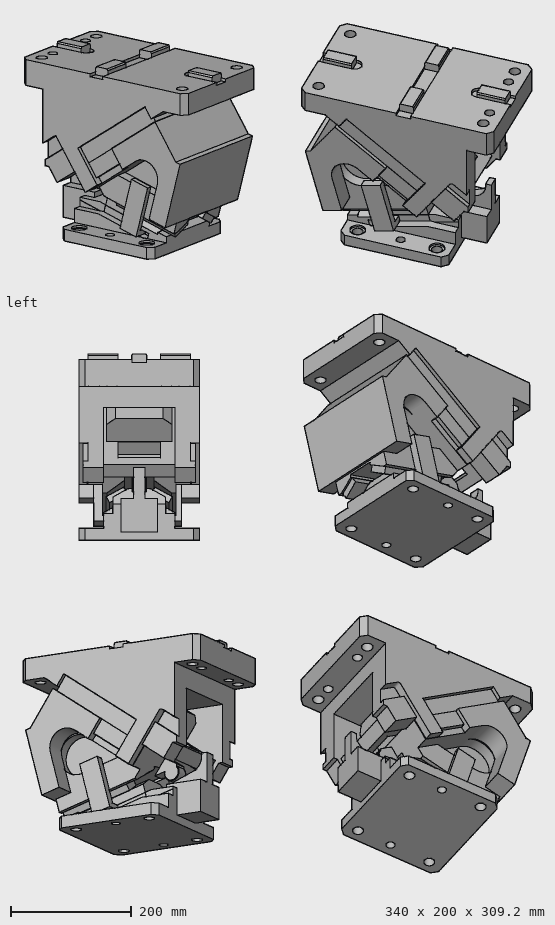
import cadquery as cq
import math

plate_length = 340.0
width = 200.0
half_width = width / 2
plate_top = 300.0
plate_bottom_front = 255.0
plate_bottom_rear = 262.5
corner_chamfer = 10.0

key_width = 25.0
key_length = 50.0
key_rise = 9.2
key_chamfer = 2.7
keyway_depth = 5.0
cross_keyway_start = 143.5
cross_keyway_width = 26.0
cross_key_centre_y = 60.2
long_keyway_width = 24.0
long_keyway_length = 72.8
long_key_edge_gap = 9.2

mount_hole_diameter = 18.7
dowel_hole_diameter = 16.3
hole_edge_distance = 24.5
mount_hole_y = 75.0
dowel_hole_y = 45.0

leg_front_x = 45.0
leg_foot_z = 120.5
leg_foot_u = -50.3
channel_half_width = 59.5
channel_ceiling = 220.0
driver_end_u = 199.5
driver_tail_w = 7.0
recess_y = 92.8
recess_height = 30.0
side_leg_inner_y = 86.5
side_leg_length = 30.0
side_leg_depth = 39.5
gib_seat_height = 67.5
gib_seat_fillet = 4.0
gib_slot_y = 84.5
gib_slot_bottom = 43.2

cam_angle = 35.0
cam_origin_x = 110.5
cam_origin_z = 124.8
flange_half_width = 85.0
keeper_depth = 28.0
core_half_width = 61.2
core_bottom_n = 36.0
core_end_t = 154.0
wing_start_u = 94.2
wing_end_u = 204.0
wing_shoulder_w = -75.8
wing_back_t = 158.8
wing_top_n = 180.2
wing_bottom_n = 60.2
wing_inner_t = 124.5
eye_centre_t = 95.0
eye_radius = 34.5
wing_eye_radius = wing_inner_t - eye_centre_t
eye_floor_y = 40.8

top_rail_start_u = -41.8
top_rail_bottom_w = 4.8
top_rail_top_w = 30.3
cam_block_start_u = 24.0
cam_block_half_width = 54.0
cam_block_height = 47.0
cam_block_chamfer_width = 14.5
cam_block_chamfer_height = 12.0
spring_pocket_start_u = -21.5
spring_pocket_half_width = 35.0
spring_pocket_ledge = 0.7

cavity_overrun = 34.0
centre_slot_half_width = 24.8
centre_slot_ceiling_n = 56.8
pad_start_t = 24.5
pad_end_t = 150.5
pad_outer_y = 49.0
pad_inner_y = 19.7
pad_thickness = 12.0

hook_half_width = 12.2
hook_edge_chamfer = 1.0
hook_radius = 14.0
hook_tip_u = -25.0
hook_tip_w = -19.7
hook_neck_n = 47.0
hook_neck_t = -29.2
hook_top_w = -3.0

strap_start_t = 54.5
strap_end_t = 89.0
strap_top_n = 94.2
strap_bottom_n = 1.7
strap_outer_left_y = 75.5
strap_outer_right_y = 70.5
strap_toe_y = 45.0
strap_toe_top_n = 11.5

guide_angle = 15.0
guide_origin_x = 130.0
guide_origin_z = 44.5
base_start_x = 80.0
base_end_x = 270.5
foot_thickness = 20.5
pedestal_half_width = 59.0
body_half_width = 43.5
body_top_z = 60.2
body_top_n = 13.0
rail_flat_half_width = 17.7
rail_top_n = 43.2
rail_end_t = 121.5
rail_wide_start_t = 66.3
roof_angle = 30.0
rear_stop_n = 23.0
front_shelf_n = -2.0
front_shelf_half_width = 44.2
groove_floor_y = 44.2
groove_height = 12.5
groove_end_t = 104.5
groove_end_fillet = 6.0

foot_bolt_x = (105.0, 245.0)
foot_hole_y = 79.0
foot_bolt_diameter = 18.0
foot_bore_diameter = 26.2
foot_bore_depth = 3.5
foot_dowel_x = 169.0
foot_dowel_diameter = 15.0

stop_start_x = 34.7
stop_end_x = 100.0
stop_bottom_z = 14.0
stop_block_top_z = 69.5
stop_half_width = 30.3
stop_web_half_width = 9.5
stop_top_z = 120.5
stop_nose_x = 45.0
stop_ramp_end_z = 77.2
stop_ramp_angle = 20.0
stop_arc_radius = 25.0

cam = math.radians(cam_angle)
guide = math.radians(guide_angle)
roof_slope = math.tan(math.radians(roof_angle))


def cam_point(u, w):
    """XZ point u along the rising cam plane and w above it."""
    return (
        cam_origin_x + u * math.cos(cam) - w * math.sin(cam),
        cam_origin_z + u * math.sin(cam) + w * math.cos(cam),
    )


def guide_point(t, n):
    """XZ point t along the falling guide and n above it."""
    return (
        guide_origin_x + t * math.cos(guide) + n * math.sin(guide),
        guide_origin_z - t * math.sin(guide) + n * math.cos(guide),
    )


def guide_coords(point):
    """Guide coordinates t, n of an XZ point."""
    dx = point[0] - guide_origin_x
    dz = point[1] - guide_origin_z
    return (
        dx * math.cos(guide) - dz * math.sin(guide),
        dx * math.sin(guide) + dz * math.cos(guide),
    )


def cam_coords(point):
    """Cam coordinates u, w of an XZ point."""
    dx = point[0] - cam_origin_x
    dz = point[1] - cam_origin_z
    return (
        dx * math.cos(cam) + dz * math.sin(cam),
        -dx * math.sin(cam) + dz * math.cos(cam),
    )


def guide_height_at(x, n):
    """Z of the plane n above the guide at a given X."""
    return guide_origin_z + (n - (x - guide_origin_x) * math.sin(guide)) / math.cos(guide)


def slab(points, half):
    """XZ outline extruded symmetrically about the middle plane."""
    return cq.Workplane("XZ").polyline(points).close().extrude(half, both=True)


def side_slabs(outline, inner, outer):
    """XZ outline function extruded between two distances from the middle plane, on both sides."""
    near = outline(cq.Workplane("XZ", origin=(0, -inner, 0))).extrude(outer - inner)
    return near.union(near.mirror("XZ"))


def polygon(points):
    return lambda plane: plane.polyline(points).close()


def cam_corners(u0, u1, w0, w1):
    return [cam_point(u0, w0), cam_point(u1, w0), cam_point(u1, w1), cam_point(u0, w1)]


def guide_corners(t0, t1, n0, n1):
    return [guide_point(t0, n0), guide_point(t1, n0), guide_point(t1, n1), guide_point(t0, n1)]


def cam_rectangle(u0, u1, w0, w1):
    return polygon(cam_corners(u0, u1, w0, w1))


def guide_rectangle(t0, t1, n0, n1):
    return polygon(guide_corners(t0, t1, n0, n1))


def guide_section(t):
    """Plane across the guide: local x is Y, local y is the height above the guide."""
    x, z = guide_point(t, 0)
    return cq.Workplane(
        cq.Plane(origin=(x, 0, z), xDir=(0, 1, 0), normal=(math.cos(guide), 0, -math.sin(guide)))
    )


def cam_section(u):
    """Plane across the cam plane: local x is Y, local y is the height above it."""
    x, z = cam_point(u, 0)
    return cq.Workplane(
        cq.Plane(origin=(x, 0, z), xDir=(0, 1, 0), normal=(math.cos(cam), 0, math.sin(cam)))
    )


def roof_n(y):
    """Height of the rail roof above the guide at distance y from the middle."""
    return rail_top_n - (y - rail_flat_half_width) * roof_slope


def mirrored(half_outline):
    """Closed outline from its +Y half, listed from one end to the other."""
    return half_outline + [(-y, n) for y, n in reversed(half_outline)]


def key(length):
    """Key along X with chamfered long top edges, standing on its keyway floor."""
    height = keyway_depth + key_rise
    bar = cq.Workplane("XY").box(length, key_width, height, centered=(True, True, False))
    return bar.faces(">Z").edges("|X").chamfer(key_chamfer, key_chamfer * 0.6)


def driver_keys(body):
    floor = plate_top - keyway_depth
    cross_x = cross_keyway_start + cross_keyway_width / 2
    body = body.cut(
        cq.Workplane("XY", origin=(cross_x, 0, floor)).rect(cross_keyway_width, width).extrude(keyway_depth)
    )
    for end_x, inward in ((0, 1), (plate_length, -1)):
        slot = (
            cq.Workplane("XY", origin=(end_x, 0, floor))
            .slot2D(2 * long_keyway_length, long_keyway_width)
            .extrude(keyway_depth)
        )
        body = body.cut(slot)
        key_x = end_x + inward * (long_key_edge_gap + key_length / 2)
        body = body.union(key(key_length).translate((key_x, 0, floor)))
    for side in (-1, 1):
        cross_key = key(key_length).rotate((0, 0, 0), (0, 0, 1), 90)
        body = body.union(cross_key.translate((cross_x, side * cross_key_centre_y, floor)))
    return body


def driver_holes(body):
    near_x = hole_edge_distance
    far_x = plate_length - hole_edge_distance
    mounts = [(x, side * mount_hole_y) for x in (near_x, far_x) for side in (-1, 1)]
    dowels = [(near_x, side * dowel_hole_y) for side in (-1, 1)]
    depth = plate_top - plate_bottom_front
    top = cq.Workplane("XY", origin=(0, 0, plate_top))
    body = body.cut(top.pushPoints(mounts).circle(mount_hole_diameter / 2).extrude(-depth))
    return body.cut(top.pushPoints(dowels).circle(dowel_hole_diameter / 2).extrude(-depth))


def make_driver():
    tail = cam_point(driver_end_u, driver_tail_w)
    tail_top_x = tail[0] + (plate_bottom_rear - tail[1]) / math.tan(cam)
    foot_tip = cam_point(leg_foot_u, 0)
    foot_x = foot_tip[0] - (leg_foot_z - foot_tip[1]) * math.tan(cam)
    body = slab(
        [
            (0, plate_top),
            (0, plate_bottom_front),
            (leg_front_x, plate_bottom_front),
            (leg_front_x, leg_foot_z),
            (foot_x, leg_foot_z),
            foot_tip,
            cam_point(driver_end_u, 0),
            tail,
            (tail_top_x, plate_bottom_rear),
            (plate_length, plate_bottom_rear),
            (plate_length, plate_top),
        ],
        half_width,
    )
    corners = body.edges("|Z").edges("<X or >X")
    body = corners.chamfer(corner_chamfer)
    body = body.cut(
        cq.Workplane("XY").box(plate_length, 2 * channel_half_width, channel_ceiling, centered=(False, True, False))
    )
    body = body.union(
        side_slabs(cam_rectangle(0, side_leg_length, -side_leg_depth, side_leg_depth), side_leg_inner_y, half_width)
    )
    rail_recess = cam_rectangle(side_leg_length, driver_end_u, 0, recess_height)
    body = body.cut(side_slabs(rail_recess, recess_y, half_width))
    seat_length = 2 * leg_front_x
    seat = side_slabs(cam_rectangle(-seat_length, 0, 0, gib_seat_height), recess_y, half_width)
    body = body.cut(seat.edges("|Y").edges(">Z").fillet(gib_seat_fillet))
    gib_slot = cam_rectangle(-seat_length, 0, gib_slot_bottom, gib_seat_height)
    slot = side_slabs(gib_slot, gib_slot_y, half_width)
    body = body.cut(slot.edges("|Y").edges(">Z").fillet(gib_seat_fillet))
    return driver_holes(driver_keys(body))


def eye_centre(radius):
    """Centre eye_centre_t along the guide of a circle that touches the flange underside."""
    w_on_guide = cam_coords(guide_point(eye_centre_t, 0))[1]
    n = (-side_leg_depth - radius - w_on_guide) / math.cos(cam + guide)
    return guide_point(eye_centre_t, n)


def eye_point(radius, angle):
    """Point on the eye circle of that radius at an angle from +X."""
    x, z = eye_centre(radius)
    return (x + radius * math.cos(angle), z + radius * math.sin(angle))


flange_tangent_angle = math.pi / 2 + cam
guide_tangent_angle = -math.pi / 2 - guide


def wing_outline(plane):
    """Side wing: the flange tail, the back and an arm, around an opening with a round end."""
    wall_angle = -guide
    middle_angle = (wall_angle + flange_tangent_angle) / 2
    return (
        plane.moveTo(*cam_point(wing_start_u, 0))
        .lineTo(*cam_point(wing_end_u, 0))
        .lineTo(*cam_point(wing_end_u, wing_shoulder_w))
        .lineTo(*guide_point(wing_back_t, wing_top_n))
        .lineTo(*guide_point(wing_back_t, wing_bottom_n))
        .lineTo(*guide_point(wing_inner_t, wing_bottom_n))
        .lineTo(*eye_point(wing_eye_radius, wall_angle))
        .threePointArc(
            eye_point(wing_eye_radius, middle_angle),
            eye_point(wing_eye_radius, flange_tangent_angle),
        )
        .lineTo(*cam_point(wing_start_u, -side_leg_depth))
        .close()
    )


def eye_pocket_outline(plane):
    """Wedge between the flange underside and a ledge parallel to the guide, closed by the eye."""
    centre = eye_centre(eye_radius)
    apex_distance = eye_radius / math.sin((cam + guide) / 2)
    apex_angle = math.pi + (cam - guide) / 2
    apex = (
        centre[0] + apex_distance * math.cos(apex_angle),
        centre[1] + apex_distance * math.sin(apex_angle),
    )
    middle_angle = (flange_tangent_angle + guide_tangent_angle) / 2
    return (
        plane.moveTo(*apex)
        .lineTo(*eye_point(eye_radius, guide_tangent_angle))
        .threePointArc(
            eye_point(eye_radius, middle_angle),
            eye_point(eye_radius, flange_tangent_angle),
        )
        .close()
    )


def slide_body():
    origin_n = guide_coords(cam_point(0, 0))[1]
    front_foot_w = (core_bottom_n - origin_n) / math.cos(cam + guide)
    core = slab(
        [
            cam_point(0, 0),
            cam_point(0, front_foot_w),
            guide_point(core_end_t, core_bottom_n),
            guide_point(core_end_t, wing_bottom_n),
            guide_point(wing_back_t, wing_bottom_n),
            guide_point(wing_back_t, wing_top_n),
            cam_point(wing_end_u, wing_shoulder_w),
            cam_point(wing_end_u, 0),
        ],
        core_half_width,
    )
    core = core.cut(side_slabs(eye_pocket_outline, eye_floor_y, core_half_width))
    flange = slab(cam_corners(0, wing_start_u, -side_leg_depth, 0), flange_half_width)
    keeper = cam_rectangle(side_leg_length, wing_start_u, -keeper_depth, 0)
    keepers = side_slabs(keeper, core_half_width, recess_y)
    wings = side_slabs(wing_outline, core_half_width, half_width)
    return core.union(flange).union(keepers).union(wings)


def channel_filler():
    """Rail and chamfered block on top of the slide, filling the driver channel up to its ceiling."""
    overhang = slab(cam_corners(top_rail_start_u, 0, top_rail_bottom_w, top_rail_top_w), channel_half_width)
    rail = slab(cam_corners(0, wing_end_u, 0, top_rail_top_w), channel_half_width)
    section = mirrored(
        [
            (cam_block_half_width, top_rail_bottom_w),
            (cam_block_half_width, top_rail_top_w + cam_block_height - cam_block_chamfer_height),
            (cam_block_half_width - cam_block_chamfer_width, top_rail_top_w + cam_block_height),
        ]
    )
    block = cam_section(cam_block_start_u).polyline(section).close().extrude(wing_end_u - cam_block_start_u)
    below_ceiling = cq.Workplane("XY").box(
        plate_length, width, channel_ceiling, centered=(False, True, False)
    )
    return overhang.union(rail).union(block).intersect(below_ceiling)


def spring_pocket():
    """Pocket through the rail overhang and down to the same depth in the rail behind it."""
    end_u = cam_block_start_u - spring_pocket_ledge
    corners = cam_corners(spring_pocket_start_u, end_u, top_rail_bottom_w, top_rail_top_w)
    return slab(corners, spring_pocket_half_width)


def pad_normal_offset(y, n):
    """Point pad_thickness away from a roof point, square to the roof."""
    tilt = math.radians(roof_angle)
    return (y + pad_thickness * math.sin(tilt), n + pad_thickness * math.cos(tilt))


def guide_cavity():
    """Space under the slide: inverted V between the pads' seats and a centre slot."""
    outer_seat = pad_normal_offset(pad_outer_y, roof_n(pad_outer_y))
    inner_seat = pad_normal_offset(pad_inner_y, roof_n(pad_inner_y))
    section = mirrored(
        [
            (outer_seat[0], 0),
            outer_seat,
            (centre_slot_half_width, inner_seat[1]),
            (centre_slot_half_width, centre_slot_ceiling_n),
        ]
    )
    return guide_section(-cavity_overrun).polyline(section).close().extrude(core_end_t + 2 * cavity_overrun)


def slide_pads():
    """Two inclined wear strips resting on the rail roof."""
    lower_outer = (pad_outer_y, roof_n(pad_outer_y))
    lower_inner = (pad_inner_y, roof_n(pad_inner_y))
    section = [lower_outer, pad_normal_offset(*lower_outer), pad_normal_offset(*lower_inner), lower_inner]
    pad = guide_section(pad_start_t).polyline(section).close().extrude(pad_end_t - pad_start_t)
    return pad.union(pad.mirror("XZ"))


def hook():
    """Rounded nose that drops over the front stop of the base."""
    tip = cam_point(hook_tip_u, hook_tip_w)
    neck = slab(
        [
            cam_point(hook_tip_u, hook_top_w),
            cam_point(0, hook_top_w),
            cam_point(0, -side_leg_depth),
            guide_point(hook_neck_t, hook_neck_n),
            tip,
            cam_point(hook_tip_u - hook_radius, hook_tip_w),
        ],
        hook_half_width,
    )
    ball = cq.Workplane("XZ").center(*tip).circle(hook_radius).extrude(hook_half_width, both=True)
    ball = ball.edges("%CIRCLE").chamfer(hook_edge_chamfer)
    return neck.union(ball)


def return_strap(side, outer_y):
    """Strap on one flank of the slide with a toe reaching into the base groove; side is +1 or -1 in Y."""
    strap_corners = guide_corners(strap_start_t, strap_end_t, strap_bottom_n, strap_top_n)
    toe_corners = guide_corners(strap_start_t, strap_end_t, strap_bottom_n, strap_toe_top_n)
    strap = None
    for corners, inner_y in ((strap_corners, core_half_width), (toe_corners, strap_toe_y)):
        plane = cq.Workplane("XZ", origin=(0, side * inner_y, 0))
        plate = plane.polyline(corners).close().extrude(-side * (outer_y - inner_y))
        strap = plate if strap is None else strap.union(plate)
    return strap


def make_slide():
    body = slide_body().cut(guide_cavity())
    body = body.union(channel_filler()).cut(spring_pocket())
    body = body.union(slide_pads()).union(hook())
    for side, outer_y in ((1, strap_outer_left_y), (-1, strap_outer_right_y)):
        body = body.union(return_strap(side, outer_y))
    return body


def base_foot():
    length = base_end_x - base_start_x
    foot = (
        cq.Workplane("XY", origin=(base_start_x, 0, 0))
        .box(length, width, foot_thickness, centered=(False, True, False))
        .edges("|Z")
        .chamfer(corner_chamfer)
    )
    bolts = [(x, side * foot_hole_y) for x in foot_bolt_x for side in (-1, 1)]
    dowels = [(foot_dowel_x, side * foot_hole_y) for side in (-1, 1)]
    top = cq.Workplane("XY", origin=(0, 0, foot_thickness))
    foot = foot.cut(top.pushPoints(bolts).circle(foot_bolt_diameter / 2).extrude(-foot_thickness))
    foot = foot.cut(top.pushPoints(bolts).circle(foot_bore_diameter / 2).extrude(-foot_bore_depth))
    return foot.cut(top.pushPoints(dowels).circle(foot_dowel_diameter / 2).extrude(-foot_thickness))


def base_pedestal():
    wide = slab(
        [
            (base_start_x, 0),
            (base_start_x, guide_origin_z),
            guide_point(0, 0),
            guide_point(rail_wide_start_t, 0),
            guide_point(rail_wide_start_t, body_top_n),
            guide_point(rail_end_t, body_top_n),
            guide_point(rail_end_t, rear_stop_n),
            (base_end_x, guide_height_at(base_end_x, rear_stop_n)),
            (base_end_x, 0),
        ],
        pedestal_half_width,
    )
    slope_start_x = guide_origin_x + (body_top_n - (body_top_z - guide_origin_z) * math.cos(guide)) / math.sin(guide)
    narrow = slab(
        [
            (base_start_x, 0),
            (base_start_x, body_top_z),
            (slope_start_x, body_top_z),
            guide_point(rail_wide_start_t, body_top_n),
            (guide_point(rail_wide_start_t, 0)[0], 0),
        ],
        body_half_width,
    )
    return wide.union(narrow).union(base_shelves())


def base_shelves():
    """Slightly proud lower flanks of the body, below the rail and at the front."""
    rail_shelf = slab(guide_corners(0, rail_wide_start_t, 0, groove_height), groove_floor_y)
    front_shelf = slab(
        [
            (base_start_x, guide_origin_z),
            (base_start_x, guide_height_at(base_start_x, front_shelf_n)),
            guide_point(0, front_shelf_n),
        ],
        front_shelf_half_width,
    )
    return rail_shelf.union(front_shelf)


def rail_part(start_t, half):
    section = mirrored([(half, 0), (half, roof_n(half)), (rail_flat_half_width, rail_top_n)])
    return guide_section(start_t).polyline(section).close().extrude(rail_end_t - start_t)


def base_grooves():
    """Side grooves for the strap toes, rounded at the closed lower end."""
    groove = side_slabs(
        guide_rectangle(0, groove_end_t, 0, groove_height), groove_floor_y, pedestal_half_width
    )
    return groove.edges("|Y").edges("<Z").fillet(groove_end_fillet)


def front_stop():
    block = cq.Workplane("XY", origin=(stop_start_x, 0, stop_bottom_z)).box(
        stop_end_x - stop_start_x,
        2 * stop_half_width,
        stop_block_top_z - stop_bottom_z,
        centered=(False, True, False),
    )
    ramp = math.radians(stop_ramp_angle)
    arc_end_x = stop_nose_x + stop_arc_radius * (1 - math.sin(ramp))
    arc_end_z = stop_ramp_end_z + (stop_end_x - arc_end_x) * math.tan(ramp)
    centre_x = stop_nose_x + stop_arc_radius
    centre_z = arc_end_z + stop_arc_radius * math.cos(ramp)
    middle = math.radians(180 + (90 - stop_ramp_angle) / 2)
    web = (
        cq.Workplane("XZ")
        .moveTo(stop_start_x, stop_block_top_z)
        .lineTo(stop_start_x, stop_top_z)
        .lineTo(stop_nose_x, stop_top_z)
        .lineTo(stop_nose_x, centre_z)
        .threePointArc(
            (centre_x + stop_arc_radius * math.cos(middle), centre_z + stop_arc_radius * math.sin(middle)),
            (arc_end_x, arc_end_z),
        )
        .lineTo(stop_end_x, stop_ramp_end_z)
        .lineTo(stop_end_x, stop_block_top_z)
        .close()
        .extrude(stop_web_half_width, both=True)
    )
    return block.union(web)


def make_base():
    body = base_foot().union(base_pedestal())
    body = body.union(rail_part(rail_wide_start_t, pedestal_half_width))
    body = body.cut(base_grooves())
    body = body.union(rail_part(0, body_half_width))
    return body.union(front_stop())


driver = make_driver()
slide = make_slide()
base = make_base()

result = cq.Compound.makeCompound([driver.solids().val(), slide.solids().val(), base.solids().val()])